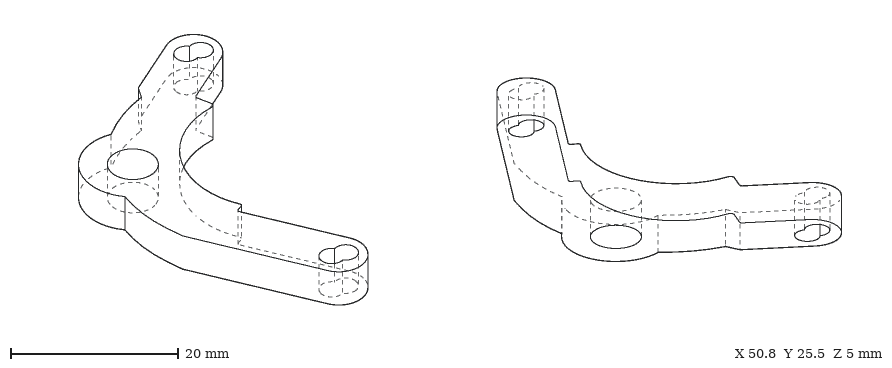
import cadquery as cq
import math

LENGTH = 50.8
THICKNESS = 5.0

ARM_END_RADIUS = 3.5
ARM_END_X = LENGTH / 2 - ARM_END_RADIUS
DIAGONAL = math.sqrt(0.5)

SLOT_RADIUS = 1.5
SLOT_CENTER_SPACING = 1.85

HUB_X = -4.25
HUB_Y = -15.5
HUB_RADIUS = 6.5
BORE_DIAMETER = 6.1

INNER_RADIUS = 11.5
INNER_CENTER = (-0.05, 1.25)
RIGHT_OUTER_RADIUS = 19.5
RIGHT_OUTER_CENTER = (0.15, 0.55)
LEFT_OUTER_RADIUS = 19.65
LEFT_OUTER_CENTER = (1.15, 0.1)

LEFT_TIP_X = -11.15
LEFT_NOTCH_X = -13.55
RIGHT_TIP_X = 8.3
RIGHT_NOTCH_X = 9.2
LEFT_STEP_X = -18.0
OUTER_START_X = -16.1
OUTER_END_X = 9.0
RIGHT_CORNER_X = 11.2
LEFT_TIP_FILLET = 0.45
SMALL_FILLET = 0.3


def lower_arc_point(center, radius, x):
    """Point at x on the lower half of a circle."""
    drop = math.sqrt(radius**2 - (x - center[0]) ** 2)
    return (x, center[1] - drop)


def arm_edge_point(x, side):
    """Point at x on an arm edge; side is 1 for the upper edge and -1 for the lower."""
    offset = side * ARM_END_RADIUS / DIAGONAL
    return (x, abs(x) - ARM_END_X + offset)


def circle_meeting(center_a, radius_a, center_b, radius_b, side):
    """Crossing of two circles, left (1) or right (-1) of the direction from a to b."""
    dx = center_b[0] - center_a[0]
    dy = center_b[1] - center_a[1]
    distance = math.hypot(dx, dy)
    along = (radius_a**2 - radius_b**2 + distance**2) / (2 * distance)
    across = side * math.sqrt(radius_a**2 - along**2)
    return (
        center_a[0] + (along * dx - across * dy) / distance,
        center_a[1] + (along * dy + across * dx) / distance,
    )


def make_plate():
    hub = (HUB_X, HUB_Y)
    tangent = ARM_END_RADIUS * DIAGONAL
    hub_left = circle_meeting(LEFT_OUTER_CENTER, LEFT_OUTER_RADIUS, hub, HUB_RADIUS, -1)
    hub_right = circle_meeting(RIGHT_OUTER_CENTER, RIGHT_OUTER_RADIUS, hub, HUB_RADIUS, 1)
    left_tip = lower_arc_point(INNER_CENTER, INNER_RADIUS, LEFT_TIP_X)
    right_tip = lower_arc_point(INNER_CENTER, INNER_RADIUS, RIGHT_TIP_X)
    left_notch = arm_edge_point(LEFT_NOTCH_X, 1)
    right_notch = arm_edge_point(RIGHT_NOTCH_X, 1)
    outer_start = lower_arc_point(LEFT_OUTER_CENTER, LEFT_OUTER_RADIUS, OUTER_START_X)
    left_mid_x = (OUTER_START_X + hub_left[0]) / 2
    right_mid_x = (hub_right[0] + OUTER_END_X) / 2
    outer_end = lower_arc_point(RIGHT_OUTER_CENTER, RIGHT_OUTER_RADIUS, OUTER_END_X)

    plate = (
        cq.Workplane("XY")
        .moveTo(-ARM_END_X - tangent, -tangent)
        .threePointArc((-ARM_END_X - tangent, tangent), (-ARM_END_X + tangent, tangent))
        .lineTo(*left_notch)
        .lineTo(*left_tip)
        .threePointArc(lower_arc_point(INNER_CENTER, INNER_RADIUS, INNER_CENTER[0]), right_tip)
        .lineTo(*right_notch)
        .lineTo(ARM_END_X - tangent, tangent)
        .threePointArc((ARM_END_X + tangent, tangent), (ARM_END_X + tangent, -tangent))
        .lineTo(*arm_edge_point(RIGHT_CORNER_X, -1))
        .lineTo(*outer_end)
        .threePointArc(lower_arc_point(RIGHT_OUTER_CENTER, RIGHT_OUTER_RADIUS, right_mid_x), hub_right)
        .threePointArc((HUB_X, HUB_Y - HUB_RADIUS), hub_left)
        .threePointArc(lower_arc_point(LEFT_OUTER_CENTER, LEFT_OUTER_RADIUS, left_mid_x), outer_start)
        .lineTo(*arm_edge_point(LEFT_STEP_X, -1))
        .close()
        .extrude(THICKNESS)
    )
    rounded_corners = (
        (left_tip, LEFT_TIP_FILLET),
        (left_notch, SMALL_FILLET),
        (right_tip, SMALL_FILLET),
        (right_notch, SMALL_FILLET),
    )
    for (x, y), radius in rounded_corners:
        corner = cq.selectors.NearestToPointSelector((x, y, THICKNESS / 2))
        plate = plate.edges("|Z").edges(corner).fillet(radius)
    return plate


def make_keyhole_slots():
    centers = [
        (x, y)
        for x in (-ARM_END_X, ARM_END_X)
        for y in (-SLOT_CENTER_SPACING / 2, SLOT_CENTER_SPACING / 2)
    ]
    return cq.Workplane("XY").pushPoints(centers).circle(SLOT_RADIUS).extrude(THICKNESS)


def make_bore():
    return cq.Workplane("XY").center(HUB_X, HUB_Y).circle(BORE_DIAMETER / 2).extrude(THICKNESS)


result = make_plate().cut(make_keyhole_slots()).cut(make_bore())